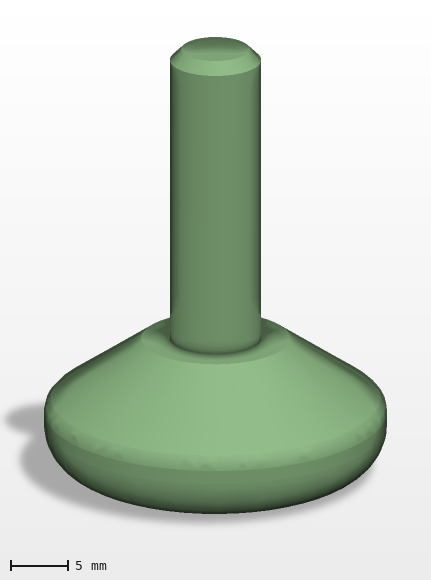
import cadquery as cq

total_height = 39.0
base_diameter = 30.0
base_height = 12.0
rim_height = 6.0
base_top_diameter = 13.0
bottom_edge_radius = 4.0
rim_edge_radius = 1.5
stud_diameter = 8.0
stud_chamfer = 1.0


def make_base():
    """Revolve the base outline, with both rim edges rounded."""
    base_radius = base_diameter / 2
    outline = (
        cq.Workplane("XZ")
        .lineTo(base_radius, 0)
        .lineTo(base_radius, rim_height)
        .lineTo(base_top_diameter / 2, base_height)
        .lineTo(0, base_height)
        .close()
    )
    base = outline.revolve(360, (0, 0, 0), (0, 1, 0))
    base = base.faces("<Z").edges().fillet(bottom_edge_radius)
    rim_level = cq.selectors.BoxSelector(
        (-base_diameter, -base_diameter, rim_height - rim_edge_radius / 2),
        (base_diameter, base_diameter, rim_height + rim_edge_radius / 2),
    )
    return base.edges("%CIRCLE").edges(rim_level).fillet(rim_edge_radius)


def make_stud():
    """Stud rising from the base top, chamfered at its free end."""
    stud = (
        cq.Workplane("XY")
        .workplane(offset=rim_height)
        .circle(stud_diameter / 2)
        .extrude(total_height - rim_height)
    )
    return stud.faces(">Z").edges().chamfer(stud_chamfer)


result = make_base().union(make_stud())